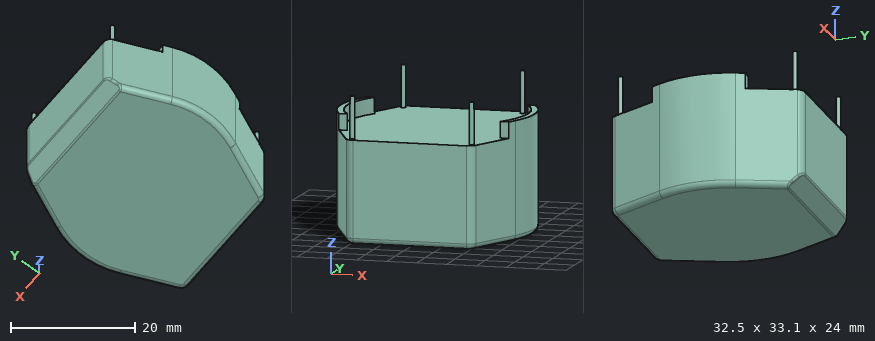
import cadquery as cq
import math

HOUSING_LENGTH = 33.1
SIDE_RADIUS = 16.25
END_HALF_WIDTH = 10.45
CORNER_RADIUS = 1.5

HOUSING_HEIGHT = 17.0
WALL_TOP = 19.7
PIN_TOP = 24.0

BOTTOM_FILLET = 1.0
CHAMFER_LEG = 2.5
CHAMFER_RIM_FILLET = 0.5

WALL_INNER_DIAMETER = 30.2
WALL_LENGTH = 16.0

PIN_DIAMETER = 0.8
PIN_SPACING_X = 20.0
PIN_SPACING_Y = 30.0

HALF_LENGTH = HOUSING_LENGTH / 2


def make_outline_prism(height):
    """Extrude the outline, with rounded corners, up from the floor."""
    corner_distance = math.hypot(END_HALF_WIDTH, HALF_LENGTH)
    corner_angle = math.atan2(HALF_LENGTH, END_HALF_WIDTH)
    tangent_angle = corner_angle - math.acos(SIDE_RADIUS / corner_distance)
    tangent_x = SIDE_RADIUS * math.cos(tangent_angle)
    tangent_y = SIDE_RADIUS * math.sin(tangent_angle)

    prism = (
        cq.Workplane("XY")
        .moveTo(-END_HALF_WIDTH, -HALF_LENGTH)
        .lineTo(END_HALF_WIDTH, -HALF_LENGTH)
        .lineTo(tangent_x, -tangent_y)
        .threePointArc((SIDE_RADIUS, 0), (tangent_x, tangent_y))
        .lineTo(END_HALF_WIDTH, HALF_LENGTH)
        .lineTo(-END_HALF_WIDTH, HALF_LENGTH)
        .lineTo(-tangent_x, tangent_y)
        .threePointArc((-SIDE_RADIUS, 0), (-tangent_x, -tangent_y))
        .close()
        .extrude(height)
    )
    end_edges = prism.faces("<Y or >Y").edges("|Z")
    return end_edges.fillet(CORNER_RADIUS)


def make_housing():
    """Housing with a rounded floor edge and a +Y chamfer that is rounded at its two sides."""
    housing = make_outline_prism(HOUSING_HEIGHT).faces("<Z").edges().fillet(BOTTOM_FILLET)
    chamfer_wedge = (
        cq.Workplane("YZ")
        .moveTo(HALF_LENGTH, 0)
        .lineTo(HALF_LENGTH - CHAMFER_LEG, 0)
        .lineTo(HALF_LENGTH, CHAMFER_LEG)
        .close()
        .extrude(HALF_LENGTH, both=True)
    )
    housing = housing.cut(chamfer_wedge)
    chamfer_face = housing.faces(cq.selectors.DirectionMinMaxSelector(cq.Vector(0, 1, -1)))
    return chamfer_face.edges("not |X").fillet(CHAMFER_RIM_FILLET)


def make_side_walls():
    """Two curved walls that carry the round sides above the housing."""
    wall_height = WALL_TOP - HOUSING_HEIGHT
    strip = cq.Workplane("XY").box(2 * SIDE_RADIUS, WALL_LENGTH, wall_height, centered=(True, True, False))
    inside = cq.Workplane("XY").circle(WALL_INNER_DIAMETER / 2).extrude(wall_height)
    walls = make_outline_prism(wall_height).intersect(strip).cut(inside)
    return walls.translate((0, 0, HOUSING_HEIGHT))


def make_pins():
    """Four round pins standing on the housing top."""
    return (
        cq.Workplane("XY", origin=(0, 0, HOUSING_HEIGHT))
        .rarray(PIN_SPACING_X, PIN_SPACING_Y, 2, 2)
        .circle(PIN_DIAMETER / 2)
        .extrude(PIN_TOP - HOUSING_HEIGHT)
    )


result = make_housing().union(make_side_walls()).union(make_pins())